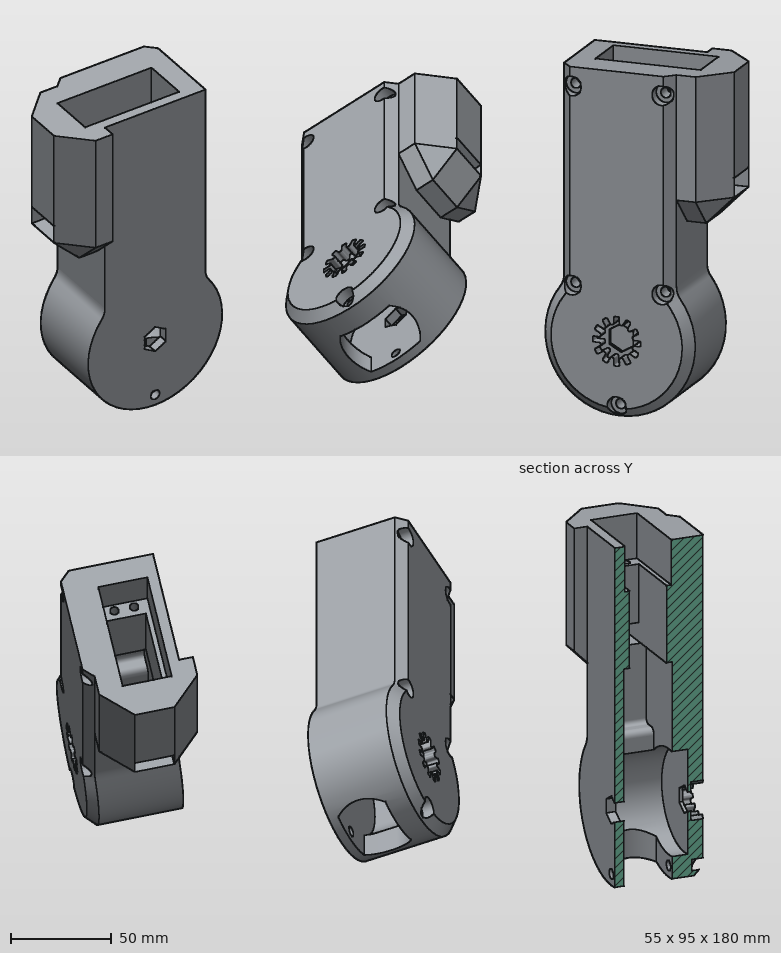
import cadquery as cq
import math

height = 180.0
depth = 48.0
column_width = 60.0
head_radius = 40.0
neck_fillet = 10.0
face_chamfer = 5.0

bracket_right = 55.0
bracket_reach = 55.0
bracket_bottom = 100.0
bracket_chamfer = 15.0

pocket_wall = 17.5
flange_size = (25.0, 56.0)
servo_x = pocket_wall + flange_size[0] / 2
servo_y = -10.0
flange_depth = 24.0
shaft_size = (20.0, 40.0)
shaft_bottom = 115.0
mount_hole_diameter = 4.3
mount_hole_spacing = (10.0, 49.5)
cable_slot_height = 10.0

chamber_thickness = 26.0
room_width = 55.0
room_floor = 72.5
room_floor_fillet = 2.5
throat_width = 36.0
throat_lip_radius = 3.5
gear_space_start = 8.5
gear_space_diameter = 56.0
opening_diameter = 40.0

tooth_count = 12
gear_tip_radius = 12.8
gear_root_radius = 8.8
tooth_width = 2.9
tooth_tip_fillet = 0.7
tooth_root_fillet = 0.81
gear_recess_depth = 6.5
hex_across_flats = 12.8

screw_diameter = 5.2
screw_head_diameter = 10.0
screw_head_depth = 6.0
screw_depth = 15.0
screw_half_spacing = 24.0
screw_heights = (66.6, 170.0)
bottom_screw_height = 6.1

half_width = column_width / 2
head_z = head_radius
margin = 0.2


def box_between(low, high):
    """Box spanned by two opposite corners."""
    size = [b - a for a, b in zip(low, high)]
    return cq.Workplane("XY").box(*size, centered=False).translate(low)


def cylinder_x(x_start, x_end, diameter, y, z):
    """Cylinder along X."""
    circle = cq.Workplane("YZ", origin=(x_start, y, z)).circle(diameter / 2)
    return circle.extrude(x_end - x_start)


def make_housing():
    """Column blended into the round head, chamfered all round its -X face except at the top."""
    column = box_between((0, -half_width, head_z), (depth, half_width, height))
    head = cylinder_x(0, depth, 2 * head_radius, 0, head_z)
    neck_corners = cq.selectors.BoxSelector(
        (0, -head_radius, head_z + margin), (depth, head_radius, height - margin)
    )
    housing = column.union(head).edges("|X").edges(neck_corners).fillet(neck_fillet)
    return housing.faces("<X").edges("not >Z").chamfer(face_chamfer)


def make_bracket():
    """Block with equal chamfers on its front uprights and bottom edges."""
    block = box_between(
        (face_chamfer, -bracket_reach, bracket_bottom), (bracket_right, -half_width, height)
    )
    uprights = block.faces("<Y").edges("|Z")
    return uprights.add(block.faces("<Z").edges("not >Y")).chamfer(bracket_chamfer)


def make_servo_pocket():
    """Flange pocket, body shaft, mounting holes and the cable slot to the front."""
    top = cq.Workplane("XY", origin=(servo_x, servo_y, height))
    flange = top.rect(*flange_size).extrude(-flange_depth)
    shaft = top.rect(*shaft_size).extrude(shaft_bottom - height)
    holes = (
        top.rect(*mount_hole_spacing, forConstruction=True)
        .vertices()
        .circle(mount_hole_diameter / 2)
        .extrude(shaft_bottom - height)
    )
    half_slot = shaft_size[0] / 2
    slot = box_between(
        (servo_x - half_slot, -bracket_reach, shaft_bottom),
        (servo_x + half_slot, 0, shaft_bottom + cable_slot_height),
    )
    return flange.union(shaft).union(holes).union(slot)


def make_chamber():
    """Room under the servo, throat down to the round gear space, and the opening below."""
    low_x = servo_x - chamber_thickness / 2
    high_x = servo_x + chamber_thickness / 2
    half_room = room_width / 2
    half_throat = throat_width / 2
    room = box_between((low_x, -half_room, room_floor), (high_x, half_room, shaft_bottom))
    room = room.faces("<Z").edges("|X").fillet(room_floor_fillet)
    throat = box_between((low_x, -half_throat, head_z), (high_x, half_throat, shaft_bottom))
    gear_space = cylinder_x(gear_space_start, high_x, gear_space_diameter, 0, head_z)
    chamber = room.union(throat).union(gear_space)
    lips = cq.selectors.BoxSelector(
        (low_x, -half_throat - margin, room_floor - margin),
        (high_x, half_throat + margin, room_floor + margin),
    )
    chamber = chamber.edges("|X").edges(lips).fillet(throat_lip_radius)
    bore = cq.Workplane("XY", origin=(servo_x, 0, 0)).circle(opening_diameter / 2).extrude(head_z)
    slab = box_between((low_x, -head_radius, 0), (high_x, head_radius, head_z))
    return chamber.union(bore.intersect(slab))


def make_output_bore():
    """Gear-shaped recess in the -X face with a hexagonal bore right through."""
    plane = cq.Workplane("YZ", origin=(0, 0, head_z))
    axis = ((0, 0, head_z), (1, 0, head_z))
    gear = plane.circle(gear_root_radius).extrude(gear_recess_depth)
    tooth = plane.center(gear_tip_radius / 2, 0).rect(gear_tip_radius, tooth_width)
    tooth = tooth.extrude(gear_recess_depth).edges("|X and >Y").fillet(tooth_tip_fillet)
    for i in range(tooth_count):
        gear = gear.union(tooth.rotate(*axis, i * 360 / tooth_count))
    root_reach = gear_root_radius + margin
    roots = cq.selectors.BoxSelector(
        (0, -root_reach, head_z - root_reach),
        (gear_recess_depth, root_reach, head_z + root_reach),
    )
    gear = gear.edges("|X").edges(roots).fillet(tooth_root_fillet)
    across_corners = hex_across_flats / math.cos(math.pi / 6)
    hexagon = plane.polygon(6, across_corners).extrude(depth).rotate(*axis, 90)
    return gear.union(hexagon)


def make_screw_hole(y, z, end):
    """Screw hole with a counterbore, drilled from the -X face."""
    head = cylinder_x(0, screw_head_depth, screw_head_diameter, y, z)
    return head.union(cylinder_x(0, end, screw_diameter, y, z))


result = make_housing().union(make_bracket())
result = result.cut(make_servo_pocket()).cut(make_chamber()).cut(make_output_bore())
for side in (-1, 1):
    for z in screw_heights:
        result = result.cut(make_screw_hole(side * screw_half_spacing, z, screw_depth))
result = result.cut(make_screw_hole(0, bottom_screw_height, depth))